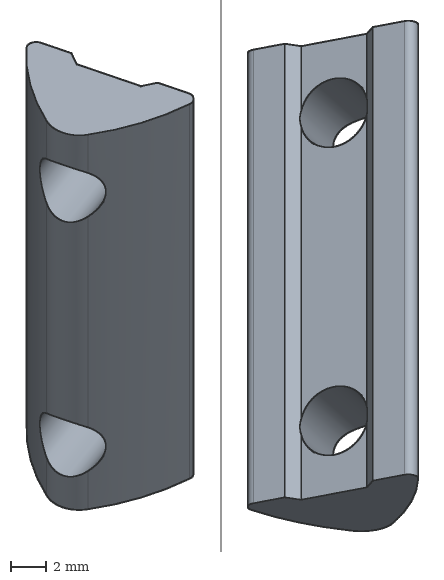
import cadquery as cq
import math

length = 28.0
width = 10.5
depth = 6.3

corner_radius = 0.55
nose_half_width = 1.32
nose_rise = 0.5
flank_bulge = 0.35
corner_angle = math.radians(-28)

groove_depth = 0.7
groove_floor_width = 4.1
groove_mouth_width = groove_floor_width + 2 * groove_depth

hole_diameter = 4.2
hole_spacing = 19.0
hole_middle_z = length / 2


def flank_middle(start, end):
    """Point on the bowed flank halfway between its ends."""
    dx = end[0] - start[0]
    dy = end[1] - start[1]
    chord = math.hypot(dx, dy)
    return (
        (start[0] + end[0]) / 2 + flank_bulge * dy / chord,
        (start[1] + end[1]) / 2 - flank_bulge * dx / chord,
    )


def mirrored(point):
    return (-point[0], point[1])


def corner_point(angle):
    """Point on the right-hand rounded corner."""
    return (
        width / 2 - corner_radius + corner_radius * math.cos(angle),
        depth - corner_radius + corner_radius * math.sin(angle),
    )


def make_bar():
    back_end = corner_point(math.pi / 2)
    corner_middle = corner_point((math.pi / 2 + corner_angle) / 2)
    corner_end = corner_point(corner_angle)
    nose_end = (nose_half_width, nose_rise)
    flank = flank_middle(nose_end, corner_end)
    return (
        cq.Workplane("XY")
        .moveTo(*mirrored(back_end))
        .lineTo(-groove_mouth_width / 2, depth)
        .lineTo(-groove_floor_width / 2, depth - groove_depth)
        .lineTo(groove_floor_width / 2, depth - groove_depth)
        .lineTo(groove_mouth_width / 2, depth)
        .lineTo(*back_end)
        .threePointArc(corner_middle, corner_end)
        .threePointArc(flank, nose_end)
        .threePointArc((0, 0), mirrored(nose_end))
        .threePointArc(mirrored(flank), mirrored(corner_end))
        .threePointArc(mirrored(corner_middle), mirrored(back_end))
        .close()
        .extrude(length)
    )


def make_holes():
    return (
        cq.Workplane("XZ", origin=(0, 0, hole_middle_z))
        .pushPoints([(0, -hole_spacing / 2), (0, hole_spacing / 2)])
        .circle(hole_diameter / 2)
        .extrude(-depth)
    )


result = make_bar().cut(make_holes())